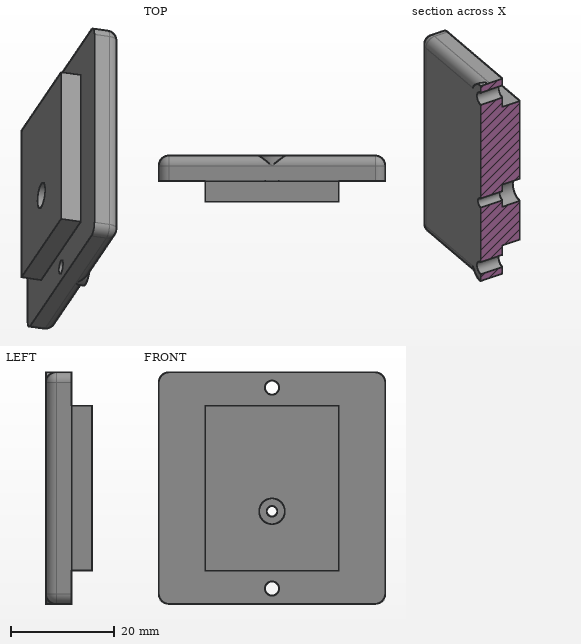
import cadquery as cq

plate_width = 44.0
plate_height = 45.0
plate_thickness = 5.0
edge_radius = 2.0

block_width = 26.0
block_height = 32.0
block_thickness = 4.0

screw_hole_diameter = 2.7
boss_diameter = 6.0
screw_offset_z = (plate_height - boss_diameter) / 2

center_hole_diameter = 2.0
counterbore_diameter = 5.0
counterbore_depth = block_thickness
center_hole_z = -4.5

back_y = plate_thickness
block_front_y = -block_thickness


def cylinder_along_y(diameter, z, start_y, end_y):
    """Round bar on the plate's vertical centreline, running along +Y."""
    axis_start = cq.Vector(0, start_y, z)
    axis_direction = cq.Vector(0, 1, 0)
    bar = cq.Solid.makeCylinder(diameter / 2, end_y - start_y, axis_start, axis_direction)
    return cq.Workplane(obj=bar)


def make_plate():
    """Plate with round corners and a fully rounded back edge."""
    plate = cq.Workplane("XY").box(plate_width, plate_thickness, plate_height, centered=(True, False, True))
    plate = plate.edges("|Y").fillet(edge_radius)
    return plate.faces(">Y").edges().fillet(edge_radius)


def make_block():
    """Rectangular block standing on the front face."""
    block = cq.Workplane("XY").box(block_width, block_thickness, block_height, centered=(True, False, True))
    return block.translate((0, block_front_y, 0))


def add_screw_boss(body, screw_z):
    """Full-depth round boss with a screw hole through it."""
    body = body.union(cylinder_along_y(boss_diameter, screw_z, 0, back_y))
    return body.cut(cylinder_along_y(screw_hole_diameter, screw_z, 0, back_y))


def cut_center_hole(body):
    """Through hole with a counterbore that is as deep as the block is thick."""
    counterbore_end_y = block_front_y + counterbore_depth
    body = body.cut(cylinder_along_y(center_hole_diameter, center_hole_z, block_front_y, back_y))
    return body.cut(cylinder_along_y(counterbore_diameter, center_hole_z, block_front_y, counterbore_end_y))


result = make_plate().union(make_block())
for screw_z in (-screw_offset_z, screw_offset_z):
    result = add_screw_boss(result, screw_z)
result = cut_center_hole(result)